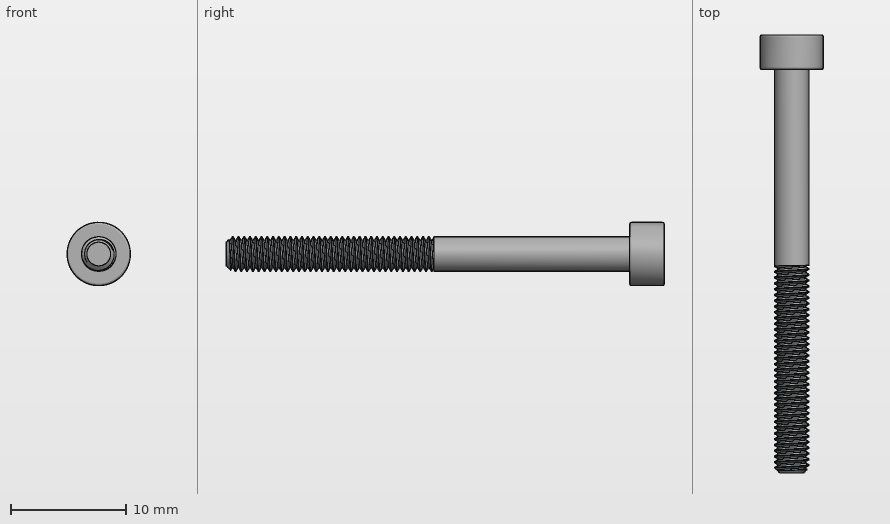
import cadquery as cq
import math

total_length = 38.0
head_diameter = 5.5
head_length = 3.0
head_edge_radius = 0.2

shank_diameter = 3.0
thread_length = 18.0
thread_turns = 36
tip_diameter = 2.05

thread_end = -(total_length - head_length)
thread_start = thread_end + thread_length
shank_radius = shank_diameter / 2

pitch = thread_length / thread_turns
crest_flat = pitch / 8
root_flat = pitch / 4
flank_length = (pitch - crest_flat - root_flat) / 2
flank_angle = math.radians(30)
root_radius = shank_radius - flank_length / math.tan(flank_angle)
crest_direction = 137
spare_turns = 2

form_bottom = -crest_flat / 2
thread_corners = [
    (shank_radius, form_bottom),
    (shank_radius, form_bottom + crest_flat),
    (root_radius, form_bottom + crest_flat + flank_length),
    (root_radius, form_bottom + crest_flat + flank_length + root_flat),
    (shank_radius, form_bottom + pitch),
]


def cylinder(diameter, start, end):
    """Cylinder on the Y axis from Y = start down to Y = end."""
    plane = cq.Workplane("XZ", origin=(0, start, 0))
    return plane.circle(diameter / 2).extrude(start - end)


def make_head():
    head = cylinder(head_diameter, head_length, 0)
    return head.edges("%CIRCLE").fillet(head_edge_radius)


def helix_edge(radius, height):
    """One right-hand turn around +Z that starts at the given height."""
    helix = cq.Wire.makeHelix(pitch, pitch, radius)
    return helix.translate(cq.Vector(0, 0, height)).Edges()[0]


def make_turn_faces():
    """Crest, root and flank faces of one turn, each between two neighbouring helices."""
    helices = [helix_edge(radius, height) for radius, height in thread_corners]
    return [cq.Face.makeRuledSurface(lower, upper) for lower, upper in zip(helices, helices[1:])]


def make_closing_faces():
    """Faces that close an end of the thread: a spiral ramp around the axis and a flat step."""
    axis_bottom = cq.Vector(0, 0, form_bottom)
    axis_top = cq.Vector(0, 0, form_bottom + pitch)
    axis = cq.Edge.makeLine(axis_bottom, axis_top)
    ramp = cq.Face.makeRuledSurface(axis, helix_edge(shank_radius, form_bottom))
    form = [cq.Vector(radius, 0, height) for radius, height in thread_corners]
    step = cq.Face.makeFromWires(cq.Wire.makePolygon(form + [axis_top, axis_bottom], close=True))
    return [ramp, step]


def raised(faces, turn):
    return [face.translate(cq.Vector(0, 0, turn * pitch)) for face in faces]


def make_raw_thread():
    """Solid helical thread, built up +Z and then laid along -Y, with spare turns at each end."""
    first_turn = -spare_turns
    end_turn = thread_turns + spare_turns
    turn_faces = make_turn_faces()
    closing_faces = make_closing_faces()

    faces = raised(closing_faces, first_turn) + raised(closing_faces, end_turn)
    for turn in range(first_turn, end_turn):
        faces += raised(turn_faces, turn)
    solid = cq.Solid.makeSolid(cq.Shell.makeShell(faces)).fix()

    thread = cq.Workplane(solid).rotate((0, 0, 0), (0, 0, 1), crest_direction)
    thread = thread.rotate((0, 0, 0), (1, 0, 0), 90)
    return thread.translate((0, thread_start, 0))


def make_thread_envelope():
    """Flat-ended cylinder clear of the crests, with a 45 degree cone down to the tip diameter."""
    clearance = 0.2
    outer_diameter = shank_diameter + 2 * clearance
    cone_length = (outer_diameter - tip_diameter) / 2
    envelope = cylinder(outer_diameter, thread_start, thread_end)
    return envelope.faces("<Y").chamfer(cone_length)


head = make_head()
shank = cylinder(shank_diameter, 0, thread_start)
thread = make_raw_thread().intersect(make_thread_envelope())
result = head.union(shank).union(thread).solids()